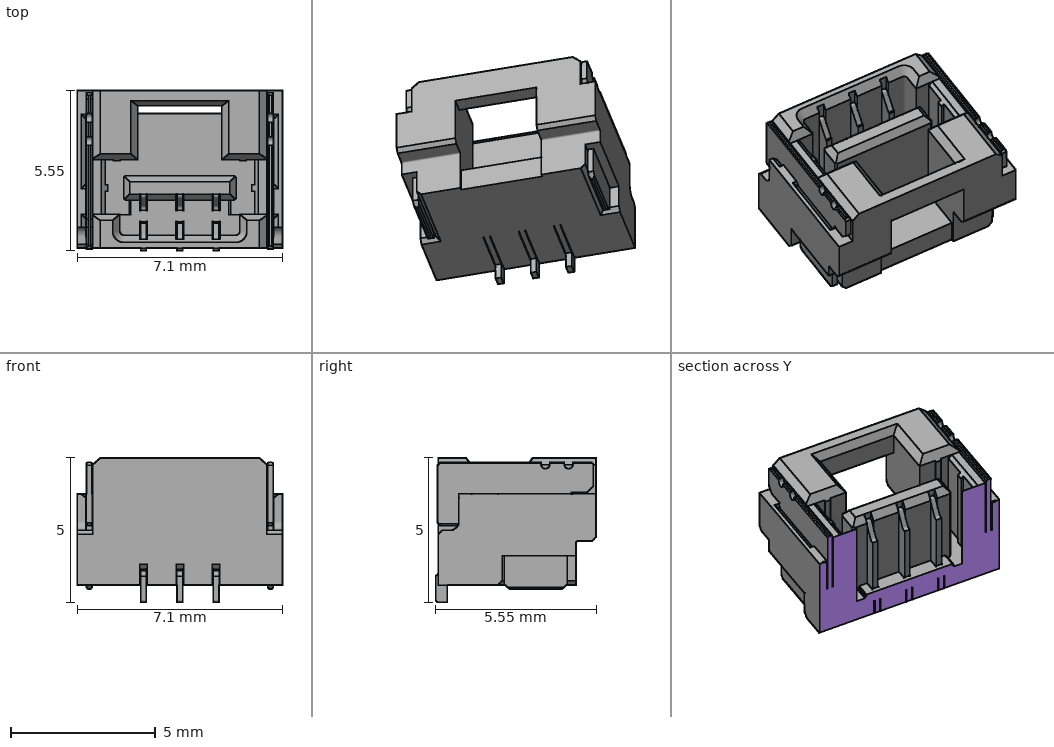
import cadquery as cq


width = 7.1
depth = 5.46
height = 4.4
core_half = 3.01
shoulder_z = 3.15
rim_bevel_width = 0.26
rim_bevel_drop = 0.235

overhang_z = 1.52
foot_back_y = 4.765
overhang_chamfer = 0.14
overhang_fillet = 0.065

floor_z = 0.85
rim_drop = 0.3
wall_top_z = height - rim_drop
deck_bevel = 0.21
opening_bevel = 0.25
cavity_half = 2.585
cavity_front_y = 1.18
cavity_back_y = 3.05
wall_bevel_width = 0.135
wall_bevel_drop = 0.115
front_pocket_half = 2.07
front_pocket_y = 0.455
pocket_corner_radius = 0.135
pocket_rim_radius = pocket_corner_radius + opening_bevel

window_half = 1.45
window_front_y = 4.66
window_back_y = 4.92
window_back_bevel = 0.185
latch_bar_z = 3.315

rib_width = 0.23
back_rib_x = 2.18
back_rib_height = 0.035
side_rib_y = 2.09
side_rib_height = 0.09

plinth_half = 1.7
plinth_front_back_y = 1.15
plinth_z = 0.995
ledge_width = 0.06
ledge_z = 0.92

tongue_half = 1.945
tongue_front_y = 1.66
tongue_back_y = 2.51
tongue_top_z = 3.975
tongue_bevel_drop = 0.26
tongue_corner = 0.07

contact_pitch = 1.26
contact_width = 0.205
groove_width = 0.255
tunnel_mouth_z = 0.725
tunnel_slope_y = 0.17
base_top_z = 0.555
leg_front_y = -0.09
leg_back_y = 0.32
leg_bottom_z = -0.595
leg_shoulder_z = 0.31
leg_slope_y = 0.115
leg_slope_z = 0.5
leg_tip_radius = 0.11
front_groove_y = 0.31
front_arm_tip_y = 0.915
rear_arm_tip_y = 1.305
arm_tip_z = 3.09
arm_top_z = 3.705
arm_flat = 0.1
rear_tip_flat = 0.12
arm_bend_radius = 0.14
front_tip_flat = 0.06
rear_groove_y = tongue_front_y + deck_bevel

front_notch_y = 0.72
front_notch_z = 1.895
front_notch_radius = 0.32
front_notch_chamfer = 0.14
slot_outer_x = 3.25
slot_back_y = 4.63
flare = 0.155
flare_drop = 0.135
back_flare_front_y = 2.06
front_flare_back_y = 1.18

side_pocket_front_y = 2.215
side_pocket_z = 1.015
side_pocket_chamfer = 0.155

plate_inner_x = 3.03
plate_thickness = 0.2
plate_front_y = -0.03
plate_back_y = 5.37
plate_top_z = 4.25
plate_bottom_z = -0.14
plate_front_z = 2.05
plate_back_z = 3.21
plate_stem_front_y = 0.995
plate_stem_back_y = 4.6
plate_front_corner = 0.11
plate_back_corner = 0.08
plate_back_chamfer = 0.22
tab_front_y = 2.28
tab_back_y = 4.465
tab_chamfer_y = 0.2
tab_chamfer_z = 0.16
edge_bevel_width = 0.06
top_edge_drop = 0.035
bottom_edge_drop = 0.065
edge_nick_radius = 0.15
edge_nick_z = 4.175
edge_nick_centers_y = (3.705, 4.51)

clearance = 0.355


def block(x0, x1, y0, y1, z0, z1):
    """Box between two opposite corners."""
    return cq.Workplane("XY").box(x1 - x0, y1 - y0, z1 - z0, centered=False).translate((x0, y0, z0))


def centered_block(half, y0, y1, z0, z1):
    """Box that spans -half to +half in X."""
    return block(-half, half, y0, y1, z0, z1)


def prism(outline_yz, x0, x1):
    """Closed (y, z) outline extruded from x0 to x1."""
    return cq.Workplane("YZ", origin=(x0, 0, 0)).polyline(outline_yz).close().extrude(x1 - x0)


def frustum(lower, upper, z0, z1):
    """Tapered block between two rectangles (x0, x1, y0, y1)."""
    def corners(x0, x1, y0, y1, z):
        return [cq.Vector(x, y, z) for x, y in ((x0, y0), (x1, y0), (x1, y1), (x0, y1))]

    wires = [
        cq.Wire.makePolygon(corners(*lower, z0), close=True),
        cq.Wire.makePolygon(corners(*upper, z1), close=True),
    ]
    return cq.Workplane(obj=cq.Solid.makeLoft(wires, True))


def both_sides(body):
    """Right-hand body together with its mirror image on the left."""
    return body.union(body.mirror("YZ"))


def housing_blank():
    """Body with shoulders, bevelled upper core and stepped back."""
    shoulders = centered_block(width / 2, 0, depth, 0, shoulder_z)
    rim_half = core_half - rim_bevel_width
    bevel_z = height - rim_bevel_drop
    core = (
        cq.Workplane("XZ")
        .polyline([
            (-core_half, 0),
            (core_half, 0),
            (core_half, bevel_z),
            (rim_half, height),
            (-rim_half, height),
            (-core_half, bevel_z),
        ])
        .close()
        .extrude(-depth)
    )
    overhang_cut = (
        cq.Workplane("YZ", origin=(-width, 0, 0))
        .moveTo(foot_back_y, -clearance)
        .lineTo(foot_back_y, overhang_z - overhang_fillet)
        .radiusArc((foot_back_y + overhang_fillet, overhang_z), overhang_fillet)
        .lineTo(depth - overhang_chamfer, overhang_z)
        .lineTo(depth, overhang_z + overhang_chamfer)
        .lineTo(depth + clearance, overhang_z + overhang_chamfer)
        .lineTo(depth + clearance, -clearance)
        .close()
        .extrude(2 * width)
    )
    return shoulders.union(core).cut(overhang_cut)


def cavity():
    """Everything removed from inside the rim, down to the floor."""
    main = centered_block(cavity_half, cavity_front_y, cavity_back_y, floor_z, height)
    bevel_z = wall_top_z - wall_bevel_drop
    wall_bevel = frustum(
        (-cavity_half, cavity_half, cavity_front_y, cavity_back_y),
        (-cavity_half - wall_bevel_width, cavity_half + wall_bevel_width, cavity_front_y, cavity_back_y),
        bevel_z,
        wall_top_z,
    )
    rim_gap = frustum(
        (-width, width, cavity_front_y, cavity_back_y),
        (-width, width, cavity_front_y - deck_bevel, cavity_back_y + deck_bevel),
        wall_top_z,
        height,
    )
    return main.union(wall_bevel).union(rim_gap).union(front_pocket()).union(latch_window())


def front_pocket():
    """Recess behind the front wall, with rounded corners and a bevelled rim."""
    def outline(half, front_y, radius, z):
        corners = ((-half, front_y), (half, front_y), (half, cavity_back_y), (-half, cavity_back_y))
        sharp = cq.Wire.makePolygon([cq.Vector(x, y, z) for x, y in corners], close=True)
        return sharp.fillet2D(radius, sharp.Vertices())

    lower = outline(front_pocket_half, front_pocket_y, pocket_corner_radius, wall_top_z)
    upper = outline(
        front_pocket_half + opening_bevel, front_pocket_y - opening_bevel, pocket_rim_radius, height
    )
    rim = cq.Workplane(obj=cq.Solid.makeLoft([lower, upper], True))
    well = centered_block(front_pocket_half, front_pocket_y, cavity_back_y, floor_z, wall_top_z)
    rounded_well = well.edges("|Z and <Y").fillet(pocket_corner_radius)
    ahead = centered_block(width / 2, 0, cavity_front_y, 0, height)
    return rounded_well.union(rim.intersect(ahead))


def latch_window():
    """Bevelled opening between the back decks, open to the rear below the latch bar."""
    well = centered_block(window_half, cavity_back_y, window_back_y, floor_z, wall_top_z)
    rim = frustum(
        (-window_half, window_half, cavity_back_y, window_back_y),
        (
            -window_half - opening_bevel,
            window_half + opening_bevel,
            cavity_back_y,
            window_back_y + window_back_bevel,
        ),
        wall_top_z,
        height,
    )
    rear_exit = centered_block(window_half, window_front_y, depth + clearance, -clearance, latch_bar_z)
    return well.union(rim).union(rear_exit)


def cavity_details():
    """Guide ribs, whose tops continue the bevels above them, and the plinth under the contacts."""
    bevel_z = wall_top_z - wall_bevel_drop
    back_rib_top_z = wall_top_z - back_rib_height * rim_drop / deck_bevel
    side_rib_top_z = bevel_z - side_rib_height * wall_bevel_drop / wall_bevel_width
    back_rib = prism(
        [
            (cavity_back_y, floor_z),
            (cavity_back_y - back_rib_height, floor_z),
            (cavity_back_y - back_rib_height, back_rib_top_z),
            (cavity_back_y, wall_top_z),
        ],
        back_rib_x - rib_width / 2,
        back_rib_x + rib_width / 2,
    )
    side_rib = (
        cq.Workplane("XZ", origin=(0, side_rib_y + rib_width / 2, 0))
        .polyline([
            (cavity_half, floor_z),
            (cavity_half, bevel_z),
            (cavity_half - side_rib_height, side_rib_top_z),
            (cavity_half - side_rib_height, floor_z),
        ])
        .close()
        .extrude(rib_width)
    )
    ledge = centered_block(
        plinth_half + ledge_width, plinth_front_back_y, tongue_front_y, floor_z, ledge_z
    )
    plinth = centered_block(plinth_half, plinth_front_back_y, tongue_front_y, floor_z, plinth_z)
    front_step = centered_block(
        front_pocket_half, front_pocket_y, plinth_front_back_y, floor_z, plinth_z
    )
    return both_sides(back_rib.union(side_rib)).union(ledge).union(plinth).union(front_step)


def tongue():
    """Mating tongue with a bevelled top and clipped corners."""
    center_y = (tongue_front_y + tongue_back_y) / 2
    length = tongue_back_y - tongue_front_y
    bevel_z = tongue_top_z - tongue_bevel_drop
    post = (
        cq.Workplane("XY", origin=(0, center_y, floor_z))
        .rect(2 * tongue_half, length)
        .extrude(tongue_top_z - floor_z)
        .edges("|Z")
        .chamfer(tongue_corner)
    )
    column = centered_block(tongue_half, tongue_front_y, tongue_back_y, floor_z, bevel_z)
    cap = frustum(
        (-tongue_half, tongue_half, tongue_front_y, tongue_back_y),
        (
            -tongue_half + deck_bevel,
            tongue_half - deck_bevel,
            tongue_front_y + deck_bevel,
            tongue_back_y - deck_bevel,
        ),
        bevel_z,
        tongue_top_z,
    )
    return post.intersect(column.union(cap))


def contact_groove(x):
    """Tunnel under the floor with openings for the two contact arms."""
    left = x - groove_width / 2
    right = x + groove_width / 2
    tunnel = prism(
        [
            (-clearance, -clearance),
            (-clearance, tunnel_mouth_z),
            (0, tunnel_mouth_z),
            (tunnel_slope_y, base_top_z),
            (rear_groove_y, base_top_z),
            (rear_groove_y, -clearance),
        ],
        left,
        right,
    )
    front = block(left, right, front_groove_y, front_arm_tip_y, 0, height)
    rear = block(left, right, rear_arm_tip_y, rear_groove_y, 0, height)
    return tunnel.union(front).union(rear)


def contact(x):
    """Stamped contact: solder leg, base and two arms with sloped lead-ins."""
    left = x - contact_width / 2
    right = x + contact_width / 2
    leg = prism(
        [
            (leg_front_y, leg_shoulder_z),
            (leg_slope_y, leg_slope_z),
            (leg_slope_y, base_top_z),
            (rear_groove_y, base_top_z),
            (rear_groove_y, 0),
            (leg_back_y, 0),
            (leg_back_y, leg_bottom_z),
            (leg_front_y, leg_bottom_z),
        ],
        left,
        right,
    )
    leg = leg.edges("|X and <Z and <Y").fillet(leg_tip_radius)
    front_arm = prism(
        [
            (front_groove_y, 0),
            (front_arm_tip_y, 0),
            (front_arm_tip_y, arm_tip_z),
            (front_arm_tip_y - front_tip_flat, arm_tip_z),
            (front_groove_y + arm_flat, arm_top_z),
            (front_groove_y, arm_top_z),
        ],
        left,
        right,
    )
    front_bend = (x, front_groove_y + arm_flat, arm_top_z)
    front_arm = front_arm.edges(cq.NearestToPointSelector(front_bend)).fillet(arm_bend_radius)
    rear_arm = prism(
        [
            (rear_arm_tip_y, 0),
            (rear_groove_y, 0),
            (rear_groove_y, arm_top_z),
            (rear_groove_y - arm_flat, arm_top_z),
            (rear_arm_tip_y + rear_tip_flat, arm_tip_z),
            (rear_arm_tip_y, arm_tip_z),
        ],
        left,
        right,
    )
    upper_bend = (x, rear_groove_y - arm_flat, arm_top_z)
    lower_bend = (x, rear_arm_tip_y + rear_tip_flat, arm_tip_z)
    for bend in (upper_bend, lower_bend):
        rear_arm = rear_arm.edges(cq.NearestToPointSelector(bend)).fillet(arm_bend_radius)
    return leg.union(front_arm).union(rear_arm)


def shoulder_cuts():
    """Front notch, plate slot, slot flares and foot pocket on the right-hand side."""
    outer_x = width / 2 + clearance
    front_notch = (
        cq.Workplane("YZ", origin=(core_half, 0, 0))
        .moveTo(-clearance, front_notch_z - front_notch_chamfer)
        .lineTo(0, front_notch_z - front_notch_chamfer)
        .lineTo(front_notch_chamfer, front_notch_z)
        .lineTo(front_notch_y - front_notch_radius, front_notch_z)
        .radiusArc((front_notch_y, front_notch_z + front_notch_radius), -front_notch_radius)
        .lineTo(front_notch_y, height)
        .lineTo(-clearance, height)
        .close()
        .extrude(outer_x - core_half)
    )
    slot = block(core_half, slot_outer_x, front_notch_chamfer, slot_back_y, front_notch_z, height)
    cuts = front_notch.union(slot)
    for y0, y1 in ((front_notch_y - clearance, front_flare_back_y), (back_flare_front_y, slot_back_y)):
        cuts = cuts.union(frustum(
            (core_half, slot_outer_x, y0 + flare, y1 - flare),
            (core_half, slot_outer_x + flare, y0, y1),
            shoulder_z - flare_drop,
            shoulder_z,
        ))
    return cuts.union(foot_pocket())


def foot_pocket():
    """Side pocket that bares the lower tab of the plate, widened at its bottom edge."""
    outer_x = width / 2 + clearance
    back_y = foot_back_y + clearance
    pocket = block(core_half, outer_x, side_pocket_front_y, back_y, -clearance, side_pocket_z)
    lead_in = frustum(
        (core_half - side_pocket_chamfer, outer_x, side_pocket_front_y - side_pocket_chamfer, back_y),
        (core_half, outer_x, side_pocket_front_y, back_y),
        0,
        side_pocket_chamfer,
    )
    return pocket.union(lead_in)


def plate_edge_bevels(edge_z, drop, y0, y1):
    """Wedges that bevel both long corners of the plate edge at edge_z; drop is signed into the metal."""
    wedges = cq.Workplane("XY")
    outer_x = plate_inner_x + plate_thickness
    for face_x, inward in ((plate_inner_x, edge_bevel_width), (outer_x, -edge_bevel_width)):
        wedge = (
            cq.Workplane("XZ", origin=(0, y1, 0))
            .polyline([(face_x, edge_z), (face_x + inward, edge_z), (face_x, edge_z + drop)])
            .close()
            .extrude(y1 - y0)
        )
        wedges = wedges.union(wedge)
    return wedges


def retention_plate():
    """Right-hand metal plate with coined edges and two nicks in its top edge."""
    plate_outer_x = plate_inner_x + plate_thickness
    plate = prism(
        [
            (plate_front_y + plate_front_corner, plate_front_z),
            (plate_front_y, plate_front_z + plate_front_corner),
            (plate_front_y, plate_top_z - plate_front_corner),
            (plate_front_y + plate_front_corner, plate_top_z),
            (plate_back_y - plate_back_corner, plate_top_z),
            (plate_back_y, plate_top_z - plate_back_corner),
            (plate_back_y, plate_back_z + plate_back_chamfer),
            (plate_back_y - plate_back_chamfer, plate_back_z),
            (plate_stem_back_y, plate_back_z),
            (plate_stem_back_y, side_pocket_z),
            (tab_back_y, side_pocket_z),
            (tab_back_y, plate_bottom_z + tab_chamfer_z),
            (tab_back_y - tab_chamfer_y, plate_bottom_z),
            (tab_front_y + tab_chamfer_y, plate_bottom_z),
            (tab_front_y, plate_bottom_z + tab_chamfer_z),
            (tab_front_y, side_pocket_z),
            (plate_stem_front_y, side_pocket_z),
            (plate_stem_front_y, plate_front_z),
        ],
        plate_inner_x,
        plate_outer_x,
    )
    plate = plate.cut(plate_edge_bevels(plate_top_z, -top_edge_drop, plate_front_y, plate_back_y))
    plate = plate.cut(plate_edge_bevels(plate_bottom_z, bottom_edge_drop, tab_front_y, tab_back_y))
    plate = plate.cut(plate_edge_bevels(plate_front_z, bottom_edge_drop, plate_front_y, front_notch_y))
    for y in edge_nick_centers_y:
        round_nick = (
            cq.Workplane("YZ", origin=(plate_inner_x, y, edge_nick_z))
            .circle(edge_nick_radius)
            .extrude(plate_thickness)
        )
        open_nick = block(
            plate_inner_x,
            plate_outer_x,
            y - edge_nick_radius,
            y + edge_nick_radius,
            edge_nick_z,
            plate_top_z,
        )
        plate = plate.cut(round_nick).cut(open_nick)
    return plate


housing = housing_blank().cut(cavity()).union(cavity_details()).union(tongue())
housing = housing.cut(both_sides(shoulder_cuts()))

for x in (-contact_pitch, 0, contact_pitch):
    housing = housing.cut(contact_groove(x)).union(contact(x))

result = housing.union(both_sides(retention_plate()))